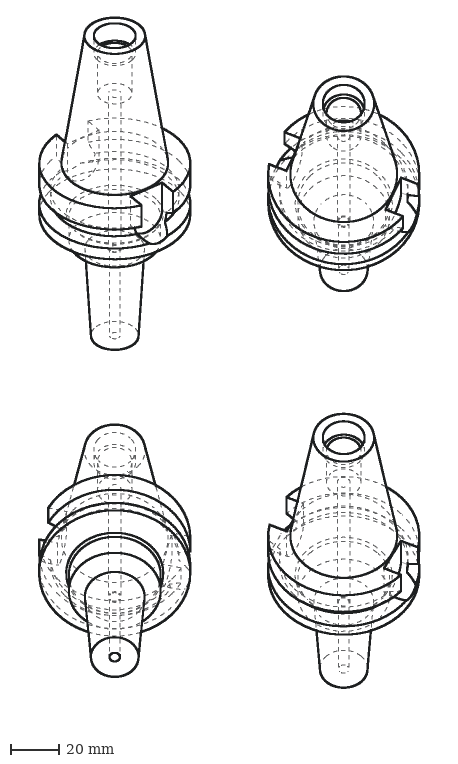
import cadquery as cq

total_height = 155.4
gauge_z = 90.0
flange_top_z = 89.4
groove_top_z = 78.3
groove_floor_top_z = 75.5
groove_floor_bottom_z = 71.3
groove_bottom_z = 68.5
flange_bottom_z = 63.0
collar_top_z = 61.5
collar_bottom_z = 49.5
nose_top_z = 45.2

flange_radius = 63.0 / 2
groove_radius = 26.7
gauge_radius = 22.2
shank_taper = 7 / 24
shank_end_radius = gauge_radius - shank_taper / 2 * (total_height - gauge_z)
collar_root_radius = 20.2
collar_radius = 19.1
nose_top_radius = 12.5
nose_radius = 10.0

counterbore_radius = 8.7
counterbore_depth = 9.0
thread_radius = 7.1
thread_depth = 30.0
coolant_radius = 2.6
tool_bore_radius = 2.2
tool_bore_depth = 45.0

slot_width = 16.2
slot_floor_x = 22.5
slot_bottom_z = 67.1


def make_body():
    """Revolve the shank, grooved flange, collar and nose about Z."""
    outline = [
        (0, 0),
        (nose_radius, 0),
        (nose_top_radius, nose_top_z),
        (collar_radius, collar_bottom_z),
        (collar_radius, collar_top_z),
        (collar_root_radius, flange_bottom_z),
        (flange_radius, flange_bottom_z),
        (flange_radius, groove_bottom_z),
        (groove_radius, groove_floor_bottom_z),
        (groove_radius, groove_floor_top_z),
        (flange_radius, groove_top_z),
        (flange_radius, flange_top_z),
        (gauge_radius, flange_top_z),
        (gauge_radius, gauge_z),
        (shank_end_radius, total_height),
        (0, total_height),
    ]
    return cq.Workplane("XZ").polyline(outline).close().revolve(360, (0, 0), (0, 1))


def make_bore(radius, bottom_z, top_z):
    """Cylinder on the Z axis between two heights."""
    return cq.Workplane("XY").workplane(offset=bottom_z).circle(radius).extrude(top_z - bottom_z)


def make_drive_slot(side):
    """Round-bottomed slot, open at the flange top, on the -X (-1) or +X (+1) side."""
    half_width = slot_width / 2
    arc_center_z = slot_bottom_z + half_width
    return (
        cq.Workplane("YZ")
        .workplane(offset=side * slot_floor_x)
        .moveTo(-half_width, flange_top_z)
        .lineTo(-half_width, arc_center_z)
        .threePointArc((0, slot_bottom_z), (half_width, arc_center_z))
        .lineTo(half_width, flange_top_z)
        .close()
        .extrude(side * (flange_radius - slot_floor_x))
    )


result = make_body()
for slot_side in (-1, 1):
    result = result.cut(make_drive_slot(slot_side))

result = result.cut(make_bore(counterbore_radius, total_height - counterbore_depth, total_height))
result = result.cut(make_bore(thread_radius, total_height - thread_depth, total_height))
result = result.cut(make_bore(coolant_radius, tool_bore_depth, total_height))
result = result.cut(make_bore(tool_bore_radius, 0, tool_bore_depth))